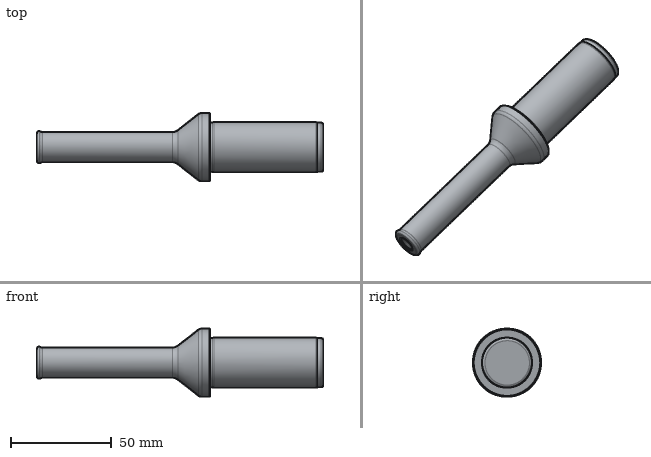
import cadquery as cq
import math

TOTAL_LENGTH = 142.0
STEM_END = 67.2
FLANGE_START = 81.8
FLANGE_END = 86.0
NECK_END = 86.9
SHANK_START = 87.8
SHANK_END = 138.2
CAP_START = 139.0

STEM_DIAMETER = 15.0
BEAD_DIAMETER = 16.0
FLANGE_DIAMETER = 34.0
NECK_DIAMETER = 24.5
SHANK_DIAMETER = 25.0
CAP_DIAMETER = 24.5

TIP_FACE_DIAMETER = 12.8
TIP_CONE_DIAMETER = 13.9
TIP_CONE_LENGTH = 0.1
BEAD_CREST = 1.3
BEAD_TAPER_END = 2.7

MOUTH_DIAMETER = 8.8
LEDGE_DIAMETER = 7.2
POINT_DIAMETER = 5.7
MOUTH_DEPTH = 0.4
POINT_DEPTH = 0.7

STEM_FILLET = 4.5
RIM_FILLET = 2.8
FLANGE_CHAMFER = 0.5
CAP_FILLET = 1.3

stem_radius = STEM_DIAMETER / 2
bead_radius = BEAD_DIAMETER / 2
flange_radius = FLANGE_DIAMETER / 2
neck_radius = NECK_DIAMETER / 2
shank_radius = SHANK_DIAMETER / 2
cap_radius = CAP_DIAMETER / 2


def cone_angle():
    """Angle to the axis of the line tangent to the stem fillet and the rim fillet."""
    length = FLANGE_START - STEM_END
    radial = (flange_radius - RIM_FILLET) - (stem_radius + STEM_FILLET)
    centre_distance = math.hypot(length, radial)
    return math.atan2(radial, length) + math.asin((STEM_FILLET + RIM_FILLET) / centre_distance)


def stem_fillet_point(angle):
    return (
        STEM_END + STEM_FILLET * math.sin(angle),
        stem_radius + STEM_FILLET * (1 - math.cos(angle)),
    )


def rim_fillet_point(angle):
    return (
        FLANGE_START - RIM_FILLET * math.sin(angle),
        flange_radius - RIM_FILLET * (1 - math.cos(angle)),
    )


def revolve_about_x(profile):
    return profile.close().revolve(360, (0, 0, 0), (1, 0, 0))


def make_center_hole():
    profile = (
        cq.Workplane("XY")
        .lineTo(0, MOUTH_DIAMETER / 2)
        .lineTo(MOUTH_DEPTH, LEDGE_DIAMETER / 2)
        .lineTo(MOUTH_DEPTH, POINT_DIAMETER / 2)
        .lineTo(MOUTH_DEPTH + POINT_DEPTH, 0)
    )
    return revolve_about_x(profile)


def make_spindle():
    """Beaded stem, cone, flange and shank turned in one piece."""
    angle = cone_angle()
    bead_middle = (
        BEAD_CREST - (BEAD_CREST - TIP_CONE_LENGTH) * math.sin(math.pi / 4),
        bead_radius - (bead_radius - TIP_CONE_DIAMETER / 2) * (1 - math.cos(math.pi / 4)),
    )
    profile = (
        cq.Workplane("XY")
        .lineTo(0, TIP_FACE_DIAMETER / 2)
        .lineTo(TIP_CONE_LENGTH, TIP_CONE_DIAMETER / 2)
        .threePointArc(bead_middle, (BEAD_CREST, bead_radius))
        .spline([(BEAD_TAPER_END, stem_radius)], tangents=[(1, 0), (1, 0)], includeCurrent=True)
        .lineTo(STEM_END, stem_radius)
        .threePointArc(stem_fillet_point(angle / 2), stem_fillet_point(angle))
        .lineTo(*rim_fillet_point(angle))
        .threePointArc(rim_fillet_point(angle / 2), (FLANGE_START, flange_radius))
        .lineTo(FLANGE_END - FLANGE_CHAMFER, flange_radius)
        .lineTo(FLANGE_END, flange_radius - FLANGE_CHAMFER)
        .lineTo(FLANGE_END, neck_radius)
        .lineTo(NECK_END, neck_radius)
        .lineTo(SHANK_START, shank_radius)
        .lineTo(SHANK_END, shank_radius)
        .lineTo(CAP_START, cap_radius)
        .lineTo(CAP_START, 0)
    )
    return revolve_about_x(profile).cut(make_center_hole())


def make_end_cap():
    """Round cap seated flat on the end of the shank."""
    return (
        cq.Workplane("YZ", origin=(CAP_START, 0, 0))
        .circle(cap_radius)
        .extrude(TOTAL_LENGTH - CAP_START)
        .faces(">X")
        .edges()
        .fillet(CAP_FILLET)
    )


spindle = make_spindle()
end_cap = make_end_cap()

result = cq.Compound.makeCompound([spindle.val(), end_cap.val()])